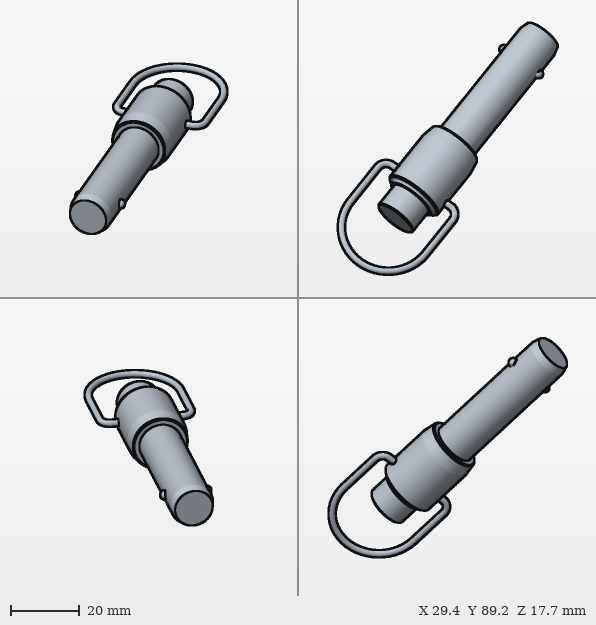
import cadquery as cq
import math


total_length = 89.15
ring_width = 29.4

shank_radius = 6.3
tip_radius = 5.6
tip_length = 2.5

ball_radius = 1.4
ball_y = 10.25
ball_reach = 7.7

body_radius = 8.87
body_start = 42.1
body_end = 62.4
taper_length = 4.2
taper_end_radius = 8.2
body_edge = 0.4

collar_length = 1.1
collar_radius = 7.2
collar_fillet = 0.7
button_end = 71.05
button_edge = 0.3

wire_radius = 1.11
bend_radius = 3.0
wire_end_y = 58.4
ring_end_depth = 7.1


def make_turned_pin():
    """Revolve the shank, body, collar and button as one stepped profile."""
    collar_end = body_end + collar_length
    shank_and_body = [
        (0, 0),
        (tip_radius, 0),
        (shank_radius, tip_length),
        (shank_radius, body_start),
        (taper_end_radius - body_edge, body_start),
        (taper_end_radius, body_start + body_edge),
        (body_radius, body_start + taper_length),
        (body_radius, body_end - body_edge),
        (body_radius - body_edge, body_end),
        (collar_radius + collar_fillet, body_end),
    ]
    fillet_sag = collar_fillet * (1 - math.sqrt(0.5))
    profile = (
        cq.Workplane("XY")
        .polyline(shank_and_body)
        .threePointArc(
            (collar_radius + fillet_sag, body_end + fillet_sag),
            (collar_radius, body_end + collar_fillet),
        )
        .lineTo(collar_radius, collar_end)
        .lineTo(shank_radius, collar_end)
        .lineTo(shank_radius, button_end - button_edge)
        .lineTo(shank_radius - button_edge, button_end)
        .lineTo(0, button_end)
        .close()
    )
    return profile.revolve(360, (0, 0), (0, 1))


def make_ball(side):
    """Locking ball on the +X (side = 1) or -X (side = -1) flank of the shank."""
    return cq.Workplane("XY").sphere(ball_radius).translate((side * (ball_reach - ball_radius), ball_y, 0))


def make_wire_ring():
    """Sweep the round wire from one side of the body, over the button, to the other."""
    leg_x = ring_width / 2 - wire_radius
    arch_y = total_length - ring_width / 2
    bend_y = wire_end_y + bend_radius
    path = (
        cq.Workplane("XY")
        .moveTo(-ring_end_depth, wire_end_y)
        .lineTo(-leg_x + bend_radius, wire_end_y)
        .tangentArcPoint((-leg_x, bend_y), relative=False)
        .lineTo(-leg_x, arch_y)
        .threePointArc((0, arch_y + leg_x), (leg_x, arch_y))
        .lineTo(leg_x, bend_y)
        .tangentArcPoint((leg_x - bend_radius, wire_end_y), relative=False)
        .lineTo(ring_end_depth, wire_end_y)
    )
    start_plane = cq.Workplane("YZ", origin=(-ring_end_depth, wire_end_y, 0))
    return start_plane.circle(wire_radius).sweep(path)


result = make_turned_pin().union(make_wire_ring())
for side in (-1, 1):
    result = result.union(make_ball(side))